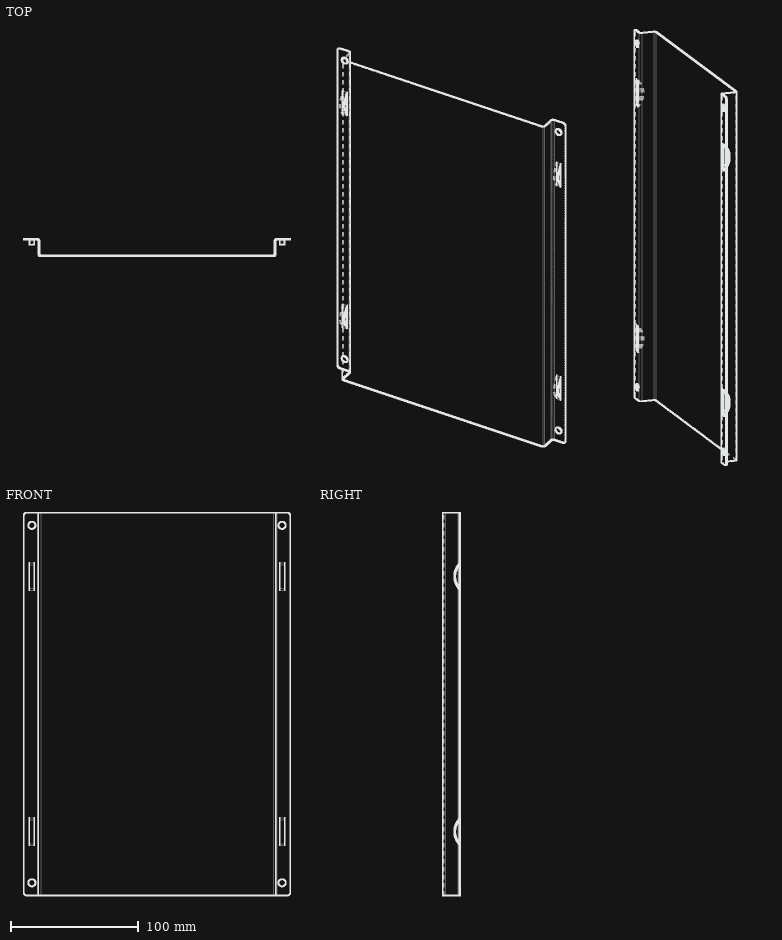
import cadquery as cq
import math

WIDTH = 209.0
DEPTH = 14.0
HEIGHT = 300.0
SHEET = 1.0
PAN_WIDTH = 186.0
INNER_BEND = 1.0
OUTER_BEND = INNER_BEND + SHEET
CORNER_RADIUS = 2.5

FEATURE_X = 98.0
HOLE_Z = 140.0
HOLE_DIAMETER = 5.5
BRIDGE_Z = 100.0
BRIDGE_WIDTH = 4.0
BRIDGE_LENGTH = 21.5
BRIDGE_RISE = 4.0
FOOT_RADIUS = 2.25

FLANGE_FRONT = DEPTH - SHEET
ARC_CENTER_DISTANCE = ((BRIDGE_LENGTH / 2) ** 2 + BRIDGE_RISE**2) / (2 * BRIDGE_RISE)
CROWN_RADIUS = ARC_CENTER_DISTANCE - FOOT_RADIUS
FOOT_ANGLE = math.asin(BRIDGE_LENGTH / 2 / ARC_CENTER_DISTANCE)


def round_edge(solid, point, radius):
    """Fillet the edge whose midpoint is nearest to the given point."""
    return solid.edges(cq.selectors.NearestToPointSelector(point)).fillet(radius)


def make_panel():
    """Hat-shaped bent sheet, extruded over the full height."""
    edge = WIDTH / 2
    outer = PAN_WIDTH / 2
    inner = outer - SHEET
    outline = [
        (-edge, DEPTH),
        (-inner, DEPTH),
        (-inner, SHEET),
        (inner, SHEET),
        (inner, DEPTH),
        (edge, DEPTH),
        (edge, FLANGE_FRONT),
        (outer, FLANGE_FRONT),
        (outer, 0),
        (-outer, 0),
        (-outer, FLANGE_FRONT),
        (-edge, FLANGE_FRONT),
    ]
    panel = cq.Workplane("XY").polyline(outline).close().extrude(HEIGHT / 2, both=True)
    for side in (-1, 1):
        panel = round_edge(panel, (side * outer, 0, 0), OUTER_BEND)
        panel = round_edge(panel, (side * inner, SHEET, 0), INNER_BEND)
        panel = round_edge(panel, (side * outer, FLANGE_FRONT, 0), INNER_BEND)
        panel = round_edge(panel, (side * inner, DEPTH, 0), OUTER_BEND)
    return panel


def round_flange_corners(panel):
    """Round the four free corners of the flanges."""
    for x in (-WIDTH / 2, WIDTH / 2):
        for z in (-HEIGHT / 2, HEIGHT / 2):
            panel = round_edge(panel, (x, DEPTH - SHEET / 2, z), CORNER_RADIUS)
    return panel


def drill_mounting_holes(panel):
    """Drill one hole through the flange near each corner."""
    positions = [(x, z) for x in (-FEATURE_X, FEATURE_X) for z in (-HOLE_Z, HOLE_Z)]
    holes = (
        cq.Workplane("XZ", origin=(0, DEPTH, 0))
        .pushPoints(positions)
        .circle(HOLE_DIAMETER / 2)
        .extrude(SHEET)
    )
    return panel.cut(holes)


def arch_points(offset):
    """(Y, Z) points of the arch surface lying `offset` behind its front, from bottom foot to top foot."""
    half_length = BRIDGE_LENGTH / 2
    foot_y = FLANGE_FRONT + offset
    crown_y = foot_y - BRIDGE_RISE
    crown_radius = CROWN_RADIUS - offset
    foot_radius = FOOT_RADIUS + offset
    tangent_z = crown_radius * math.sin(FOOT_ANGLE)
    tangent_y = crown_y + crown_radius * (1 - math.cos(FOOT_ANGLE))
    foot_mid_z = half_length - foot_radius * math.sin(FOOT_ANGLE / 2)
    foot_mid_y = foot_y - foot_radius * (1 - math.cos(FOOT_ANGLE / 2))
    upper_half = [(tangent_y, tangent_z), (foot_mid_y, foot_mid_z), (foot_y, half_length)]
    lower_half = [(y, -z) for y, z in reversed(upper_half)]
    return lower_half + [(crown_y, 0)] + upper_half


def draw_arch(sketch, points):
    """Continue a sketch along foot, crown and foot arcs, starting at the first arch point."""
    for middle, end in zip(points[1::2], points[2::2]):
        sketch = sketch.threePointArc(middle, end)
    return sketch


def add_bridge(panel, x, z):
    """Lance an arched strip forward out of the flange, open at both long sides."""
    slot = cq.Workplane("XY", origin=(x, DEPTH - SHEET / 2, z)).box(BRIDGE_WIDTH, SHEET, BRIDGE_LENGTH)
    front = arch_points(0)
    back = arch_points(SHEET)[::-1]
    sketch = cq.Workplane("YZ", origin=(x, 0, z)).moveTo(*front[0])
    sketch = draw_arch(sketch, front).lineTo(*back[0])
    sketch = draw_arch(sketch, back).close()
    strip = sketch.extrude(BRIDGE_WIDTH / 2, both=True)
    return panel.cut(slot).union(strip)


result = drill_mounting_holes(round_flange_corners(make_panel()))
for bridge_x in (-FEATURE_X, FEATURE_X):
    for bridge_z in (-BRIDGE_Z, BRIDGE_Z):
        result = add_bridge(result, bridge_x, bridge_z)